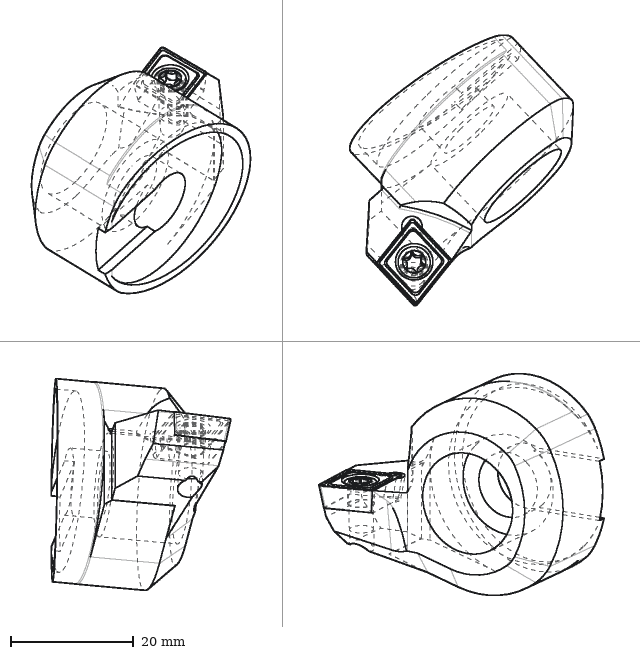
import cadquery as cq
import math

REACH = 83.8

BODY_RADIUS = 16.6
FLAT_SIDE_REACH = 15.38
FLAT_SIDE_RADIUS = 20.95
FLAT_SIDE_CENTER_Y = FLAT_SIDE_RADIUS - FLAT_SIDE_REACH
BLEND_RADIUS = 10.05
LOWER_TANGENT_ANGLE = 15.8
UPPER_TANGENT_ANGLE = 19.0
BACK_BEVEL = 1.05
BODY_END_Y = BODY_RADIUS + BACK_BEVEL
FRONT_CHAMFER = 4.55

COLLAR_X = 16.05
COLLAR_RADIUS = 16.55
COLLAR_STEP_WIDTH = 0.3
REAR_X = 23.8
REAR_SLANT_ANGLE = 9.0
BORE_DIAMETER = 11.0
COUNTERBORE_DIAMETER = 17.0
COUNTERBORE_DEPTH = 13.0
RECESS_DIAMETER = 29.75
RECESS_X = 19.05
NOTCH_X = 17.4
NOTCH_WIDTH = 10.05

TILT_ANGLE = 2.0
HEAD_FRONT_X = -2.95
HEAD_TOP_Y = 26.4
HEAD_KNEE = (-1.45, 17.15)
HEAD_ROOT_Y = 11.45
HEAD_BEVEL_X = 9.0
HEAD_BEVEL_Y = 20.3
HEAD_BACK_X = 15.0
HEAD_INNER_Y = 9.45
HEAD_END_PROFILE = [(26.5, 0.85), (25.7, -5.45), (24.55, -7.8), (23.45, -10.5)]
HEAD_CHAMFER_OFFSET = 10.15
HEAD_CHAMFER_SKEW = 2.0
CLEARANCE_ANGLE = 9.0
CLEARANCE_END_Y = 14.8
CLEARANCE_FILLET_RADIUS = 5.45
FLUTE_WALL = [(-3.77, 10.35), (4.55, 13.15), (10.9, 17.15)]
FLUTE_FILLET = 0.4

TIP_X = -3.1
TIP_Y = 26.52
INSCRIBED_DIAMETER = 9.5
NOSE_ANGLE = 80.0
NOSE_RADIUS = 0.4
INSERT_THICKNESS = 4.0
INSERT_CLEARANCE = 7.0
INSERT_HOLE_DIAMETER = 4.4
COUNTERSINK_DIAMETER = 6.1
LAND_WIDTH = 0.1
GROOVE_WIDTH = 1.05
GROOVE_DEPTH = 0.2
GROOVE_WALL_ANGLE = 50.0
PLATEAU_CORNER_RADIUS = 0.85
CORNER_RELIEF_DIAMETER = 3.3
CORNER_RELIEF_X = 7.12
CORNER_RELIEF_Y = 18.0
CORNER_RELIEF_LEAN = 12.0

SCREW_HEAD_DIAMETER = 5.25
SCREW_HEAD_DROP = 0.3
SCREW_DIAMETER = 4.0
SCREW_LENGTH = 8.4
SOCKET_RIM_DIAMETER = 3.75
SOCKET_ROOT_DIAMETER = 2.3
SOCKET_BUMP_RADIUS = 0.92
SOCKET_LOBES = 6
SOCKET_DEPTH = 1.68
SOCKET_CHAMFER_DEPTH = 0.15

NOSE = math.radians(NOSE_ANGLE)
INSERT_SIDE = INSCRIBED_DIAMETER / math.sin(NOSE)
NOSE_PULLBACK = NOSE_RADIUS * ((1 + math.cos(NOSE)) / math.sin(NOSE) - 1)
INSERT_X = TIP_X - NOSE_PULLBACK + (INSERT_SIDE + INSCRIBED_DIAMETER / math.tan(NOSE)) / 2
INSERT_Y = TIP_Y - INSCRIBED_DIAMETER / 2
COUNTERSINK_DEPTH = SCREW_HEAD_DROP * (COUNTERSINK_DIAMETER - INSERT_HOLE_DIAMETER) / (
    COUNTERSINK_DIAMETER - SCREW_HEAD_DIAMETER
)


def tilted(shape):
    """Tilt a shape from level to the slope of the head, about the tip of the insert."""
    return shape.rotate((TIP_X, 0, 0), (TIP_X, 1, 0), -TILT_ANGLE)


def on_circle(radius, angle, center_y=0.0):
    """Point in the YZ plane at an angle in degrees from +Y."""
    turn = math.radians(angle)
    return (center_y + radius * math.cos(turn), radius * math.sin(turn))


def lower_flat_z(y):
    """Height of the flat under the body and head."""
    slope = math.radians(LOWER_TANGENT_ANGLE)
    return (y * math.sin(slope) - BODY_RADIUS) / math.cos(slope)


def body_profile():
    """Round body outline, flattened on the -Y side, with two tangent flats toward the head."""
    to_circle = BODY_RADIUS - BLEND_RADIUS
    to_flat = FLAT_SIDE_RADIUS - BLEND_RADIUS
    blend_y = (to_circle**2 - to_flat**2 + FLAT_SIDE_CENTER_Y**2) / (2 * FLAT_SIDE_CENTER_Y)
    blend_z = math.sqrt(to_circle**2 - blend_y**2)
    circle_end = math.degrees(math.atan2(blend_z, blend_y))
    flat_start = math.degrees(math.atan2(blend_z, blend_y - FLAT_SIDE_CENTER_Y))
    blend_mid = math.radians((circle_end + flat_start) / 2)
    mid_y = blend_y + BLEND_RADIUS * math.cos(blend_mid)
    mid_z = blend_z + BLEND_RADIUS * math.sin(blend_mid)
    upper_mid = on_circle(BODY_RADIUS, (UPPER_TANGENT_ANGLE + circle_end) / 2)
    circle_corner = on_circle(BODY_RADIUS, circle_end)
    flat_corner = on_circle(FLAT_SIDE_RADIUS, flat_start, FLAT_SIDE_CENTER_Y)
    lower_tangent = LOWER_TANGENT_ANGLE - 90
    lower_mid = on_circle(BODY_RADIUS, (lower_tangent - circle_end) / 2)
    upper = math.radians(UPPER_TANGENT_ANGLE)
    upper_end_z = (BODY_RADIUS - BODY_END_Y * math.cos(upper)) / math.sin(upper)
    return (
        cq.Workplane("YZ")
        .moveTo(BODY_END_Y, upper_end_z)
        .lineTo(*on_circle(BODY_RADIUS, UPPER_TANGENT_ANGLE))
        .threePointArc(upper_mid, circle_corner)
        .threePointArc((mid_y, mid_z), flat_corner)
        .threePointArc((-FLAT_SIDE_REACH, 0), (flat_corner[0], -flat_corner[1]))
        .threePointArc((mid_y, -mid_z), (circle_corner[0], -circle_corner[1]))
        .threePointArc(lower_mid, on_circle(BODY_RADIUS, lower_tangent))
        .lineTo(BODY_END_Y, lower_flat_z(BODY_END_Y))
        .close()
    )


def make_body():
    """Chamfered body with its rear collar."""
    body = body_profile().extrude(COLLAR_X).faces("<X").chamfer(FRONT_CHAMFER)
    return body.union(make_collar())


def make_collar():
    """Round rear collar, stepped down slightly from the body and cut off at a slant."""
    round_part = (
        cq.Workplane("XY")
        .moveTo(COLLAR_X, 0)
        .lineTo(COLLAR_X, BODY_RADIUS)
        .lineTo(COLLAR_X + COLLAR_STEP_WIDTH, COLLAR_RADIUS)
        .lineTo(REAR_X, COLLAR_RADIUS)
        .lineTo(REAR_X, 0)
        .close()
        .revolve(360, (0, 0, 0), (1, 0, 0))
    )
    rear_cut = (
        cq.Workplane("XY")
        .box(REACH, REACH, REACH, centered=(False, True, True))
        .rotate((0, 0, 0), (0, 0, 1), -REAR_SLANT_ANGLE)
        .translate((REAR_X, COLLAR_RADIUS, 0))
    )
    return round_part.intersect(body_profile().extrude(REAR_X)).cut(rear_cut)


def make_head():
    """Arm beside the body, level with the insert plus the height of the flute fillet."""
    plan = (
        cq.Workplane("XY", origin=(0, 0, -REACH / 2))
        .polyline([
            (HEAD_FRONT_X, HEAD_TOP_Y),
            HEAD_KNEE,
            (0, HEAD_ROOT_Y),
            (0, HEAD_INNER_Y),
            (HEAD_BACK_X, HEAD_INNER_Y),
            (HEAD_BACK_X, HEAD_BEVEL_Y),
            (HEAD_BEVEL_X, HEAD_TOP_Y),
        ])
        .close()
        .extrude(REACH)
    )
    top_limit = tilted(
        cq.Workplane("XY", origin=(0, 0, FLUTE_FILLET))
        .box(REACH, REACH, REACH, centered=(True, True, False))
    )
    side = (
        cq.Workplane("YZ", origin=(-REACH / 2, 0, 0))
        .polyline([
            *HEAD_END_PROFILE,
            (HEAD_INNER_Y, lower_flat_z(HEAD_INNER_Y)),
            (HEAD_INNER_Y, REACH),
            (HEAD_END_PROFILE[0][0], REACH),
        ])
        .close()
        .extrude(REACH)
    )
    lower_bevel = (
        cq.Workplane("XZ", origin=(0, REACH / 2, 0))
        .polyline([
            (-REACH, REACH - HEAD_CHAMFER_OFFSET),
            (REACH, -REACH - HEAD_CHAMFER_OFFSET),
            (-REACH, -REACH - HEAD_CHAMFER_OFFSET),
        ])
        .close()
        .extrude(REACH)
        .rotate((0, 0, 0), (0, 0, 1), -HEAD_CHAMFER_SKEW)
    )
    return plan.intersect(side).cut(top_limit).cut(lower_bevel)


def make_clearance():
    """Cutter that leans the front of the head back below its top edge, with a rounded run-out."""
    slope = (HEAD_FRONT_X - HEAD_KNEE[0]) / (HEAD_TOP_Y - HEAD_KNEE[1])
    turn = math.atan(-slope)
    start = (HEAD_KNEE[0] + slope * (CLEARANCE_END_Y - HEAD_KNEE[1]), CLEARANCE_END_Y)
    center_x = start[0] - CLEARANCE_FILLET_RADIUS * math.cos(turn)
    center_y = start[1] - CLEARANCE_FILLET_RADIUS * math.sin(turn)
    bend = turn - math.pi / 4
    arc_mid = (
        center_x + CLEARANCE_FILLET_RADIUS * math.cos(bend),
        center_y + CLEARANCE_FILLET_RADIUS * math.sin(bend),
    )
    bend_end = turn - math.pi / 2
    arc_end = (
        center_x + CLEARANCE_FILLET_RADIUS * math.cos(bend_end),
        center_y + CLEARANCE_FILLET_RADIUS * math.sin(bend_end),
    )
    far_y = REACH / 2
    far_x = HEAD_KNEE[0] + slope * (far_y - HEAD_KNEE[1])
    return (
        cq.Workplane("XY", origin=(0, 0, -REACH / 2))
        .moveTo(far_x, far_y)
        .lineTo(*start)
        .threePointArc(arc_mid, arc_end)
        .lineTo(-REACH / 2, arc_end[1])
        .lineTo(-REACH / 2, far_y)
        .close()
        .extrude(REACH / 2)
        .rotate((HEAD_KNEE[0], 0, 0), (HEAD_KNEE[0], 1, 0), -CLEARANCE_ANGLE)
    )


def make_flute():
    """Chip space above the head: a curved wall with a filleted foot."""
    first, middle, last = FLUTE_WALL
    flute = (
        cq.Workplane("XY")
        .moveTo(*first)
        .threePointArc(middle, last)
        .lineTo(REACH, last[1])
        .lineTo(REACH, REACH)
        .lineTo(first[0], REACH)
        .close()
        .extrude(REACH)
    )
    margin = FLUTE_FILLET
    wall_zone = cq.selectors.BoxSelector(
        (first[0] + margin, first[1], -margin), (REACH - margin, last[1] + margin, margin)
    )
    return tilted(flute.faces("<Z").edges(wall_zone).fillet(FLUTE_FILLET))


def make_corner_relief():
    """Leaning round clearance for the inner corner of the insert, as deep as the seat."""
    relief = (
        cq.Workplane("XY", origin=(0, 0, -REACH / 2))
        .circle(CORNER_RELIEF_DIAMETER / 2)
        .extrude(REACH)
        .rotate((0, 0, 0), (1, 1, 0), CORNER_RELIEF_LEAN)
        .translate((CORNER_RELIEF_X, CORNER_RELIEF_Y, 0))
    )
    seat_depth = cq.Workplane("XY").box(REACH, REACH, 2 * INSERT_THICKNESS)
    return relief.intersect(seat_depth)


def make_holder():
    """Body and head in one piece, with all recesses, the insert seat and the screw hole."""
    holder = make_body().union(make_head()).cut(make_clearance()).cut(make_flute())
    back_bevel = (
        cq.Workplane("XY", origin=(0, 0, -REACH / 2))
        .polyline([
            (HEAD_BACK_X, BODY_RADIUS + BACK_BEVEL),
            (COLLAR_X, BODY_RADIUS),
            (COLLAR_X, BODY_RADIUS + BACK_BEVEL),
        ])
        .close()
        .extrude(REACH)
    )
    bore = cq.Workplane("YZ").circle(BORE_DIAMETER / 2).extrude(REACH)
    counterbore = cq.Workplane("YZ").circle(COUNTERBORE_DIAMETER / 2).extrude(COUNTERBORE_DEPTH)
    recess = cq.Workplane("YZ", origin=(RECESS_X, 0, 0)).circle(RECESS_DIAMETER / 2).extrude(REACH)
    notch = (
        cq.Workplane("XY")
        .box(REACH, REACH, NOTCH_WIDTH, centered=(False, False, True))
        .translate((NOTCH_X, -REACH, 0))
    )
    for cutter in (back_bevel, bore, counterbore, recess, notch):
        holder = holder.cut(cutter)
    screw_hole = (
        cq.Workplane("XY", origin=(INSERT_X, INSERT_Y, -REACH / 2))
        .circle(SCREW_DIAMETER / 2)
        .extrude(REACH / 2)
    )
    for cutter in (insert_blank(), make_corner_relief(), screw_hole):
        holder = holder.cut(tilted(cutter))
    return holder


def rhombus_outline(inset, corner_radius):
    """Rounded rhombus about the insert center, its sides inset from those of the insert top."""
    width = INSCRIBED_DIAMETER - 2 * inset
    side = width / math.sin(NOSE)
    half_skew = width / math.tan(NOSE) / 2
    acute_corner = (-side / 2 - half_skew, width / 2)
    obtuse_corner = (side / 2 - half_skew, width / 2)
    return (
        cq.Sketch()
        .polygon([
            acute_corner,
            obtuse_corner,
            (-acute_corner[0], -acute_corner[1]),
            (-obtuse_corner[0], -obtuse_corner[1]),
            acute_corner,
        ])
        .vertices()
        .fillet(corner_radius)
    )


def rhombus_block(inset, depth, draft, corner_radius=NOSE_RADIUS):
    """Rhombic block hanging down from Z = 0, its sides leaning inward by the draft angle."""
    bottom_inset = inset + depth * math.tan(math.radians(draft))
    top = rhombus_outline(inset, corner_radius)
    bottom = rhombus_outline(bottom_inset, corner_radius).moved(cq.Location(cq.Vector(0, 0, -depth)))
    return cq.Workplane("XY", origin=(INSERT_X, INSERT_Y, 0)).placeSketch(top, bottom).loft(ruled=True)


def insert_blank():
    return rhombus_block(0, INSERT_THICKNESS, INSERT_CLEARANCE)


def make_insert():
    """Insert with a chip groove behind its edge and a countersunk hole."""
    groove = rhombus_block(LAND_WIDTH, GROOVE_DEPTH, GROOVE_WALL_ANGLE)
    plateau = rhombus_block(
        LAND_WIDTH + GROOVE_WIDTH, GROOVE_DEPTH, -GROOVE_WALL_ANGLE, PLATEAU_CORNER_RADIUS
    )
    hole = (
        cq.Workplane("XZ")
        .polyline([
            (0, 0),
            (COUNTERSINK_DIAMETER / 2, 0),
            (INSERT_HOLE_DIAMETER / 2, -COUNTERSINK_DEPTH),
            (INSERT_HOLE_DIAMETER / 2, -INSERT_THICKNESS),
            (0, -INSERT_THICKNESS),
        ])
        .close()
        .revolve(360, (0, 0, 0), (0, 1, 0))
        .translate((INSERT_X, INSERT_Y, 0))
    )
    return tilted(insert_blank().cut(hole).cut(groove.cut(plateau)))


def make_socket():
    """Six-lobed star: a round pocket with rounded bumps around its wall."""
    rim = SOCKET_RIM_DIAMETER / 2
    socket = cq.Workplane("XY").circle(rim).extrude(-SOCKET_DEPTH)
    bumps = (
        cq.Workplane("XY", origin=(0, 0, -SOCKET_CHAMFER_DEPTH))
        .polarArray(SOCKET_ROOT_DIAMETER / 2 + SOCKET_BUMP_RADIUS, 0, 360, SOCKET_LOBES)
        .circle(SOCKET_BUMP_RADIUS)
        .extrude(-SOCKET_DEPTH)
    )
    return socket.cut(bumps)


def make_screw():
    """Countersunk screw with a low conical crown and a star socket."""
    neck_depth = SCREW_HEAD_DROP * (COUNTERSINK_DIAMETER - SCREW_DIAMETER) / (
        COUNTERSINK_DIAMETER - SCREW_HEAD_DIAMETER
    )
    screw = (
        cq.Workplane("XZ")
        .polyline([
            (0, 0),
            (SOCKET_RIM_DIAMETER / 2, 0),
            (SCREW_HEAD_DIAMETER / 2, -SCREW_HEAD_DROP),
            (SCREW_DIAMETER / 2, -neck_depth),
            (SCREW_DIAMETER / 2, -SCREW_LENGTH),
            (0, -SCREW_LENGTH),
        ])
        .close()
        .revolve(360, (0, 0, 0), (0, 1, 0))
        .cut(make_socket())
    )
    return tilted(screw.translate((INSERT_X, INSERT_Y, 0)))


holder = make_holder()
insert = make_insert()
screw = make_screw()
result = cq.Compound.makeCompound([holder.val(), insert.val(), screw.val()])